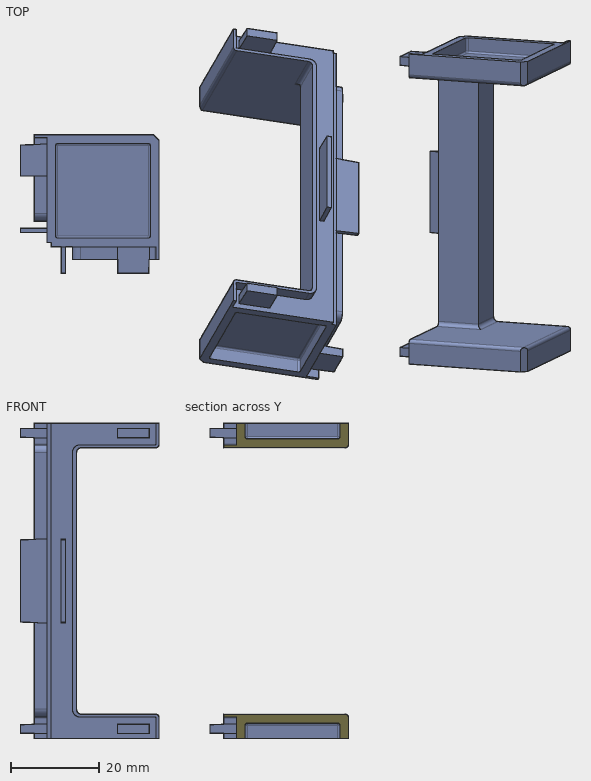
import cadquery as cq


height = 71.6
plate_side = 25.5
plate_thickness = 5.6
column_side = 6.8
corner_chamfer = 1.3
corner_notch = 1.0
inner_bend_radius = 1.0
plate_edge_radius = 0.8

skirt_depth = 2.9
skirt_wall_plate = 0.7
skirt_wall_column = 1.0
skirt_wall_end = 0.7
skirt_bend_radius = 1.8
skirt_corner_radius = 0.2

pocket_side = 21.5
pocket_depth = 3.5
pocket_corner_radius = 0.5
pocket_floor_radius = 0.45

reach = 6.0
taper = 0.2
tab_width = 7.3
tab_thickness = 2.2
tab_end_offset = 1.2
tab_edge_offset = 2.15
blade_length = 19.1
blade_thickness = 1.0
blade_offset = 3.25

half_height = height / 2


def centred_box(x_range, y_range, half_z):
    """Box spanning the X and Y ranges, symmetric about Z = 0."""
    x_min, x_max = x_range
    y_min, y_max = y_range
    return (
        cq.Workplane("XY", origin=(0, 0, -half_z))
        .moveTo(x_min, y_min)
        .lineTo(x_max, y_min)
        .lineTo(x_max, y_max)
        .lineTo(x_min, y_max)
        .close()
        .extrude(2 * half_z)
    )


def swap_xy(shape):
    """Reflect a shape through the plane X = Y."""
    return shape.mirror("YZ").rotate((0, 0, 0), (0, 0, 1), -90)


def with_z_mirror(shape):
    """Join a shape with its reflection through Z = 0."""
    return shape.union(shape.mirror("XY"))


def c_prism(y_range):
    """C-shaped XZ outline of the post, rounded at its bends and arm ends."""
    opening_half = half_height - plate_thickness
    block = centred_box((0, plate_side), y_range, half_height)
    opening = centred_box((column_side, plate_side), y_range, opening_half)
    opening = opening.edges("|Y and <X").fillet(inner_bend_radius)
    prism = block.cut(opening)
    arm_tip_z = (opening_half + half_height) / 2
    arm_end_edges = cq.selectors.BoxSelector(
        (column_side, y_range[0], -arm_tip_z),
        (2 * plate_side, y_range[1], arm_tip_z),
    )
    return prism.edges("|Y and >X").edges(arm_end_edges).fillet(plate_edge_radius)


def make_body():
    """Column and end plates, where the two perpendicular C outlines overlap."""
    prism = c_prism((0, plate_side))
    body = prism.intersect(swap_xy(prism))
    chamfer_start = plate_side - corner_chamfer
    corner = (
        cq.Workplane("XY", origin=(0, 0, -half_height))
        .moveTo(plate_side, chamfer_start)
        .lineTo(plate_side, plate_side)
        .lineTo(chamfer_start, plate_side)
        .close()
        .extrude(height)
    )
    notch = centred_box((0, corner_notch), (0, corner_notch), half_height)
    return body.cut(corner).cut(notch)


def make_pocket():
    """Square recess in the upper end, rounded at its corners and floor."""
    centre = plate_side / 2
    return (
        cq.Workplane("XY", origin=(centre, centre, half_height - pocket_depth))
        .rect(pocket_side, pocket_side)
        .extrude(pocket_depth)
        .edges("|Z")
        .fillet(pocket_corner_radius)
        .faces("<Z")
        .edges()
        .fillet(pocket_floor_radius)
    )


def make_skirt():
    """Thin wall on the -Y face following the inside of the C outline."""
    y_range = (-skirt_depth, 0)
    arm_depth = plate_thickness - skirt_wall_plate
    core_x = column_side - skirt_wall_column
    inside_x = plate_side - skirt_wall_end
    core = centred_box((core_x, inside_x), y_range, half_height - arm_depth)
    core = core.edges("|Y and <X").fillet(skirt_bend_radius)
    clearance = centred_box((0, inside_x), y_range, half_height + skirt_corner_radius)
    clearance = clearance.cut(core).edges("|Y and >X").fillet(skirt_corner_radius)
    return c_prism(y_range).cut(clearance)


def make_tab():
    """Upper tab on the -Y face, tapering on its underside and outer edge."""
    outer_x = plate_side - tab_edge_offset
    inner_x = outer_x - tab_width
    top_z = half_height - tab_end_offset
    bottom_z = top_z - tab_thickness
    return (
        cq.Workplane("XZ")
        .moveTo(inner_x, bottom_z)
        .lineTo(outer_x, bottom_z)
        .lineTo(outer_x, top_z)
        .lineTo(inner_x, top_z)
        .close()
        .workplane(offset=reach)
        .moveTo(inner_x, bottom_z + taper)
        .lineTo(outer_x - taper, bottom_z + taper)
        .lineTo(outer_x - taper, top_z)
        .lineTo(inner_x, top_z)
        .close()
        .loft(ruled=True)
    )


def make_blade():
    """Thin upright blade on the -Y face, tapering in length."""
    root_half = blade_length / 2
    tip_half = root_half - taper
    return (
        cq.Workplane("YZ", origin=(blade_offset, 0, 0))
        .moveTo(0, -root_half)
        .lineTo(0, root_half)
        .lineTo(-reach, tip_half)
        .lineTo(-reach, -tip_half)
        .close()
        .extrude(blade_thickness)
    )


body = make_body().cut(with_z_mirror(make_pocket()))
for feature in (make_skirt(), with_z_mirror(make_tab()), make_blade()):
    body = body.union(feature).union(swap_xy(feature))

result = body